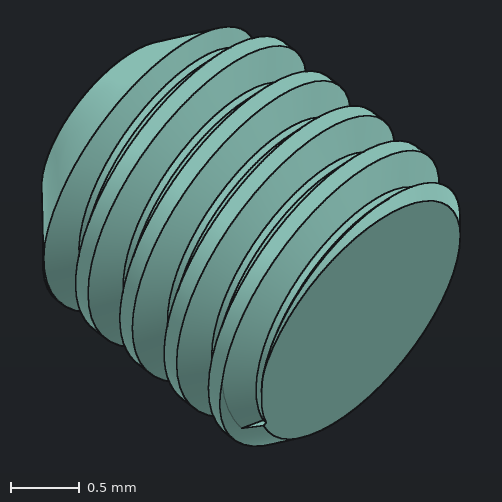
import cadquery as cq
import math

length = 2.5
major_radius = 1.25
root_radius = 1.02
pitch = 0.45
root_width = 0.058
flank_half_angle = 30.0
tip_radius = 0.75
rear_chamfer = 0.2

lead_in = pitch
groove_turns = 6.55

cutter_overlap = 0.025


def make_blank():
    """Cylinder with a 45 degree cone point at X = 0 and a chamfered rear end."""
    cone_length = major_radius - tip_radius
    return (
        cq.Workplane("XY")
        .moveTo(0, 0)
        .lineTo(0, tip_radius)
        .lineTo(cone_length, major_radius)
        .lineTo(length - rear_chamfer, major_radius)
        .lineTo(length, major_radius - rear_chamfer)
        .lineTo(length, 0)
        .close()
        .revolve(360, (0, 0, 0), (1, 0, 0))
    )


def make_groove():
    """Right-hand trapezoidal thread groove, centred at X = 0 on the +Y side."""
    outer_radius = major_radius + cutter_overlap
    half_root = root_width / 2
    flank_run = (outer_radius - root_radius) * math.tan(math.radians(flank_half_angle))
    half_mouth = half_root + flank_run
    path = cq.Wire.makeHelix(pitch, groove_turns * pitch, root_radius)
    groove = (
        cq.Workplane("XZ")
        .moveTo(root_radius, -half_root)
        .lineTo(outer_radius, -half_mouth)
        .lineTo(outer_radius, half_mouth)
        .lineTo(root_radius, half_root)
        .close()
        .sweep(cq.Workplane(path), isFrenet=True)
    )
    along_x = groove.rotate((0, 0, 0), (1, 1, 1), 120)
    return along_x.translate((-lead_in, 0, 0))


result = make_blank().cut(make_groove(), clean=False)